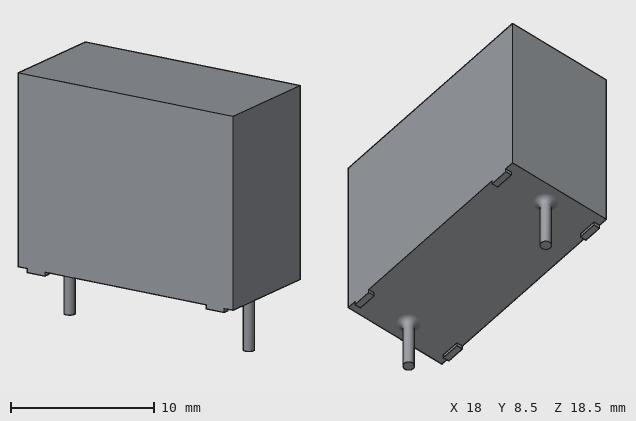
import cadquery as cq

case_length = 18.0
case_width = 8.5
overall_height = 18.5
lead_length = 4.3
case_height = overall_height - lead_length

foot_length = 1.5
foot_width = 0.5
foot_height = 0.3

lead_diameter = 0.8
lead_radius = lead_diameter / 2
lead_pitch = 15.0
flare_radius = 0.5

lead_positions = (-lead_pitch / 2, lead_pitch / 2)


def make_case():
    return cq.Workplane("XY").box(case_length, case_width, case_height, centered=(True, True, False))


def make_feet():
    foot_y = (case_width - foot_width) / 2
    centres = [(x, y) for x in lead_positions for y in (-foot_y, foot_y)]
    return cq.Workplane("XY").pushPoints(centres).rect(foot_length, foot_width).extrude(-foot_height)


def make_lead(x):
    """Revolve a straight lead whose top ends in a concave quarter-round flare."""
    profile = (
        cq.Workplane("XZ")
        .lineTo(lead_radius + flare_radius, 0)
        .radiusArc((lead_radius, -flare_radius), -flare_radius)
        .lineTo(lead_radius, -lead_length)
        .lineTo(0, -lead_length)
        .close()
    )
    return profile.revolve(360, (0, 0, 0), (0, 1, 0)).translate((x, 0, 0))


result = make_case().union(make_feet())
for lead_x in lead_positions:
    result = result.union(make_lead(lead_x))